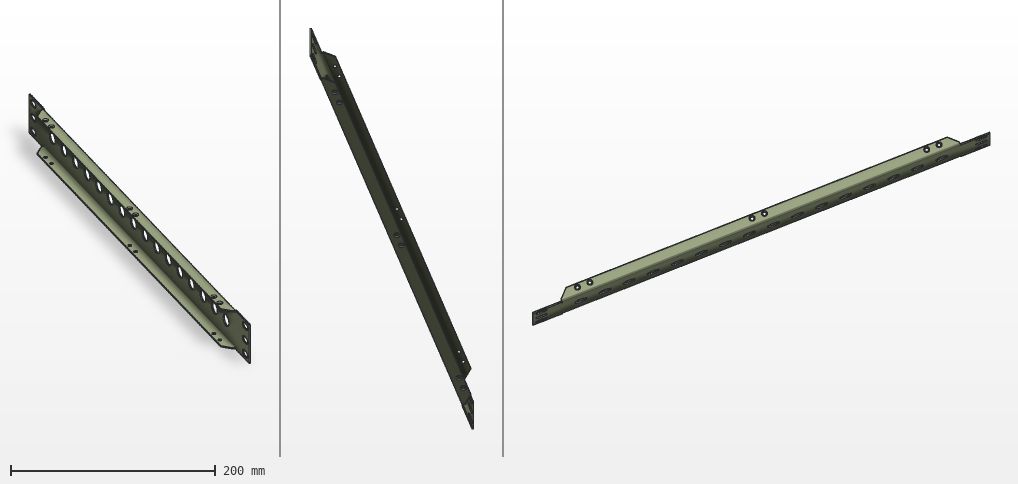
import cadquery as cq

panel_length = 482.5
panel_height = 44.0
panel_depth = 12.5
sheet = 1.5
bend_inner_radius = 1.0
bend_outer_radius = bend_inner_radius + sheet

flange_length = 421.0
flange_corner_cut = 9.0

connector_count = 16
connector_row_length = 381.0
connector_pitch = connector_row_length / (connector_count - 1)
connector_diameter = 12.5
connector_drop = 0.4

slot_length = 11.5
slot_height = 6.8
slot_end_distance = 9.0
slot_pitch = 16.0

flange_hole_diameter = 3.5
countersink_diameter = 6.0
flange_hole_edge_distance = 4.1
flange_hole_pair_spacing = 13.0
flange_hole_pair_offset = 184.5

flange_edge_y = -panel_depth


def flat_panel():
    return cq.Workplane("XY").box(panel_length, sheet, panel_height).translate((0, -sheet / 2, 0))


def bend_clearance():
    """Blocks that remove the square panel edges where the sheet is folded."""
    block = cq.Workplane("XY").box(flange_length, panel_depth, bend_outer_radius)
    block_z = (panel_height - bend_outer_radius) / 2
    return block.translate((0, 0, block_z)).union(block.translate((0, 0, -block_z)))


def folded_channel():
    """Channel section with rounded bends and its free flange corners cut at 45 degrees."""
    half_height = panel_height / 2
    outer = (
        cq.Workplane("XY")
        .box(flange_length, panel_depth, panel_height)
        .translate((0, flange_edge_y / 2, 0))
        .edges("|X and >Y")
        .fillet(bend_outer_radius)
    )
    inner = (
        cq.Workplane("XY")
        .box(flange_length, panel_depth, panel_height - 2 * sheet)
        .translate((0, flange_edge_y / 2 - sheet, 0))
        .edges("|X and >Y")
        .fillet(bend_inner_radius)
    )
    half_length = flange_length / 2
    outline = (
        cq.Workplane("XY")
        .workplane(offset=-half_height)
        .polyline([
            (-half_length, 0),
            (half_length, 0),
            (half_length, flange_edge_y + flange_corner_cut),
            (half_length - flange_corner_cut, flange_edge_y),
            (-half_length + flange_corner_cut, flange_edge_y),
            (-half_length, flange_edge_y + flange_corner_cut),
        ])
        .close()
        .extrude(panel_height)
    )
    return outer.cut(inner).intersect(outline)


def connector_holes():
    return (
        cq.Workplane("XZ")
        .rarray(connector_pitch, 5, connector_count, 1)
        .circle(connector_diameter / 2)
        .extrude(panel_depth, both=True)
        .translate((0, 0, -connector_drop))
    )


def rack_slots():
    return (
        cq.Workplane("XZ")
        .rarray(panel_length - 2 * slot_end_distance, slot_pitch, 2, 3)
        .slot2D(slot_length, slot_height)
        .extrude(panel_depth, both=True)
    )


def countersunk_flange_holes():
    """Vertical holes through both flanges, countersunk at 90 degrees from the outside."""
    hole_y = flange_edge_y + flange_hole_edge_distance
    hole_radius = flange_hole_diameter / 2
    sink_radius = countersink_diameter / 2
    half_height = panel_height / 2
    sink_floor = half_height - (sink_radius - hole_radius)
    cutter = (
        cq.Workplane("XZ")
        .polyline([
            (0, -half_height),
            (sink_radius, -half_height),
            (hole_radius, -sink_floor),
            (hole_radius, sink_floor),
            (sink_radius, half_height),
            (0, half_height),
        ])
        .close()
        .revolve(360, (0, 0), (0, 1))
    )
    cutters = cq.Workplane("XY")
    for pair_x in (-flange_hole_pair_offset, 0, flange_hole_pair_offset):
        for side in (-1, 1):
            hole_x = pair_x + side * flange_hole_pair_spacing / 2
            cutters = cutters.add(cutter.translate((hole_x, hole_y, 0)))
    return cutters.combine()


result = (
    flat_panel()
    .cut(bend_clearance())
    .union(folded_channel())
    .cut(connector_holes())
    .cut(rack_slots())
    .cut(countersunk_flange_holes())
)